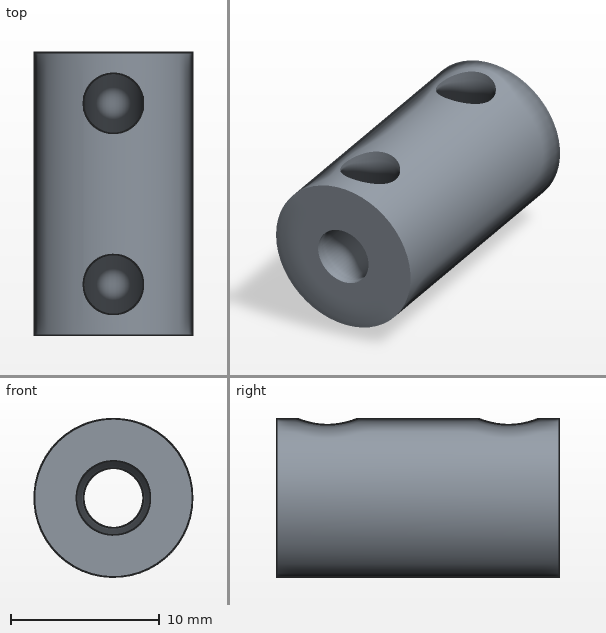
import cadquery as cq
import math

length = 19.05
outer_diameter = 10.67
front_bore_diameter = 5.0
rear_bore_diameter = 4.0
shoulder_y = 0.0
shoulder_angle = 118.0

screw_hole_diameter = 4.04
screw_hole_end_distance = 3.43


def stepped_bore():
    """Wide front bore narrowing through a cone to the rear bore."""
    front_radius = front_bore_diameter / 2
    rear_radius = rear_bore_diameter / 2
    shoulder_length = (front_radius - rear_radius) / math.tan(math.radians(shoulder_angle / 2))
    return (
        cq.Workplane("XY")
        .moveTo(0, -length / 2)
        .lineTo(front_radius, -length / 2)
        .lineTo(front_radius, shoulder_y)
        .lineTo(rear_radius, shoulder_y + shoulder_length)
        .lineTo(rear_radius, length / 2)
        .lineTo(0, length / 2)
        .close()
        .revolve(360, (0, 0), (0, 1))
    )


def screw_hole(y):
    """Hole from the bore axis up through the top wall."""
    return (
        cq.Workplane("XY", origin=(0, y, 0))
        .circle(screw_hole_diameter / 2)
        .extrude(outer_diameter / 2)
    )


sleeve = cq.Workplane("XZ").circle(outer_diameter / 2).extrude(length / 2, both=True)
result = sleeve.cut(stepped_bore())
for side in (-1, 1):
    result = result.cut(screw_hole(side * (length / 2 - screw_hole_end_distance)))